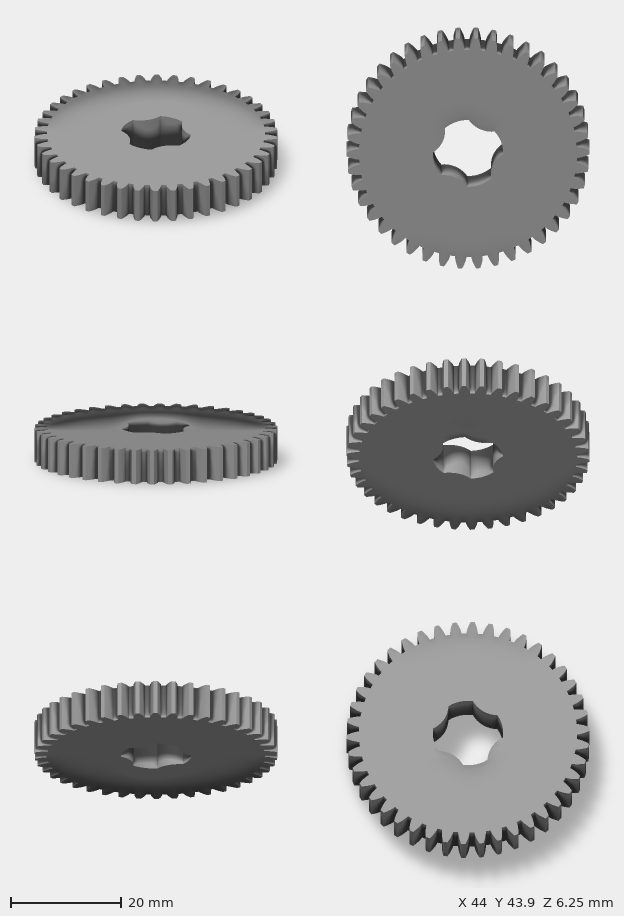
import cadquery as cq
import math

TEETH = 42
TIP_RADIUS = 22.0
PRESSURE_ANGLE = math.radians(20)
DEDENDUM_FACTOR = 1.25
THICKNESS = 6.25
FLANK_POINTS = 6

MODULE = 2 * TIP_RADIUS / (TEETH + 2)
PITCH_RADIUS = MODULE * TEETH / 2
BASE_RADIUS = PITCH_RADIUS * math.cos(PRESSURE_ANGLE)
ROOT_RADIUS = PITCH_RADIUS - DEDENDUM_FACTOR * MODULE
PITCH_ANGLE = 2 * math.pi / TEETH

BORE_RADIUS = 6.4
LOBE_COUNT = 4
LOBE_RADIUS = 5.1
LOBE_REACH = 5.1


def involute(angle):
    """Angle swept by an involute from its start to the given pressure angle."""
    return math.tan(angle) - angle


def half_tooth_angle(radius):
    """Half of the angle that a tooth spans at the given radius."""
    local_pressure_angle = math.acos(BASE_RADIUS / radius)
    return math.pi / (2 * TEETH) + involute(PRESSURE_ANGLE) - involute(local_pressure_angle)


def polar(radius, angle):
    return (radius * math.cos(angle), radius * math.sin(angle))


def gear_blank():
    """Toothed disc, with one tooth centred on +X."""
    step = (TIP_RADIUS - ROOT_RADIUS) / (FLANK_POINTS - 1)
    radii = [ROOT_RADIUS + step * i for i in range(FLANK_POINTS)]
    root_half_angle = half_tooth_angle(ROOT_RADIUS)

    outline = cq.Workplane("XY").moveTo(*polar(ROOT_RADIUS, -root_half_angle))
    for tooth in range(TEETH):
        centre = tooth * PITCH_ANGLE
        next_centre = centre + PITCH_ANGLE
        rising = [polar(r, centre - half_tooth_angle(r)) for r in radii]
        falling = [polar(r, centre + half_tooth_angle(r)) for r in reversed(radii)]
        tip_middle = polar(TIP_RADIUS, centre)
        root_middle = polar(ROOT_RADIUS, centre + PITCH_ANGLE / 2)
        root_end = polar(ROOT_RADIUS, next_centre - root_half_angle)

        outline = outline.spline(rising[1:], includeCurrent=True)
        outline = outline.threePointArc(tip_middle, falling[0])
        outline = outline.spline(falling[1:], includeCurrent=True)
        outline = outline.threePointArc(root_middle, root_end)
    return outline.close().extrude(THICKNESS)


def bore():
    """Cutting body for the lobed through hole."""
    lobes = (
        cq.Workplane("XY")
        .polarArray(LOBE_REACH + LOBE_RADIUS, 0, 360, LOBE_COUNT)
        .circle(LOBE_RADIUS)
        .extrude(THICKNESS)
    )
    return cq.Workplane("XY").circle(BORE_RADIUS).extrude(THICKNESS).cut(lobes)


result = gear_blank().cut(bore())